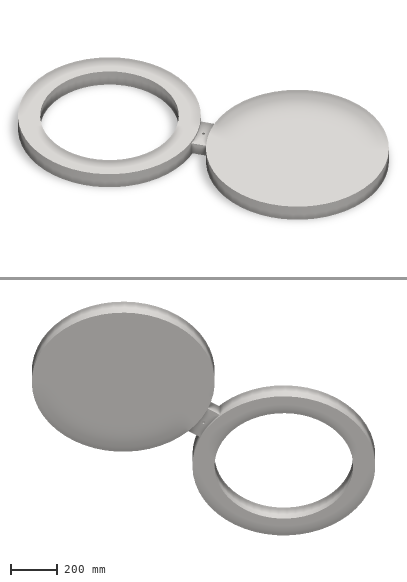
import cadquery as cq

DISC_DIAMETER = 787.4
DISC_THICKNESS = 73.15
DISC_GAP = 50.8

OPENING_DIAMETER = 596.9

NECK_WIDTH = 152.4
NECK_THICKNESS = 54.86
NECK_HOLE_DIAMETER = 12.7

CENTER_OFFSET = (DISC_DIAMETER + DISC_GAP) / 2


def round_plate(center_x, diameter, thickness):
    """Round plate centred on the XY plane."""
    return (
        cq.Workplane("XY")
        .center(center_x, 0)
        .circle(diameter / 2)
        .extrude(thickness / 2, both=True)
    )


def make_ring():
    """Left-hand plate with a large concentric opening."""
    opening = round_plate(-CENTER_OFFSET, OPENING_DIAMETER, DISC_THICKNESS)
    return round_plate(-CENTER_OFFSET, DISC_DIAMETER, DISC_THICKNESS).cut(opening)


def make_disc():
    """Right-hand solid plate."""
    return round_plate(CENTER_OFFSET, DISC_DIAMETER, DISC_THICKNESS)


def make_neck():
    """Rectangular bar whose ends run into both plates, its corners lying on their rims."""
    radius = DISC_DIAMETER / 2
    rim_reach = (radius**2 - (NECK_WIDTH / 2) ** 2) ** 0.5
    length = 2 * (CENTER_OFFSET - rim_reach)
    return cq.Workplane("XY").box(length, NECK_WIDTH, NECK_THICKNESS)


def make_neck_hole():
    """Vertical through hole in the middle of the neck."""
    return round_plate(0, NECK_HOLE_DIAMETER, NECK_THICKNESS)


result = make_ring().union(make_disc()).union(make_neck()).cut(make_neck_hole())